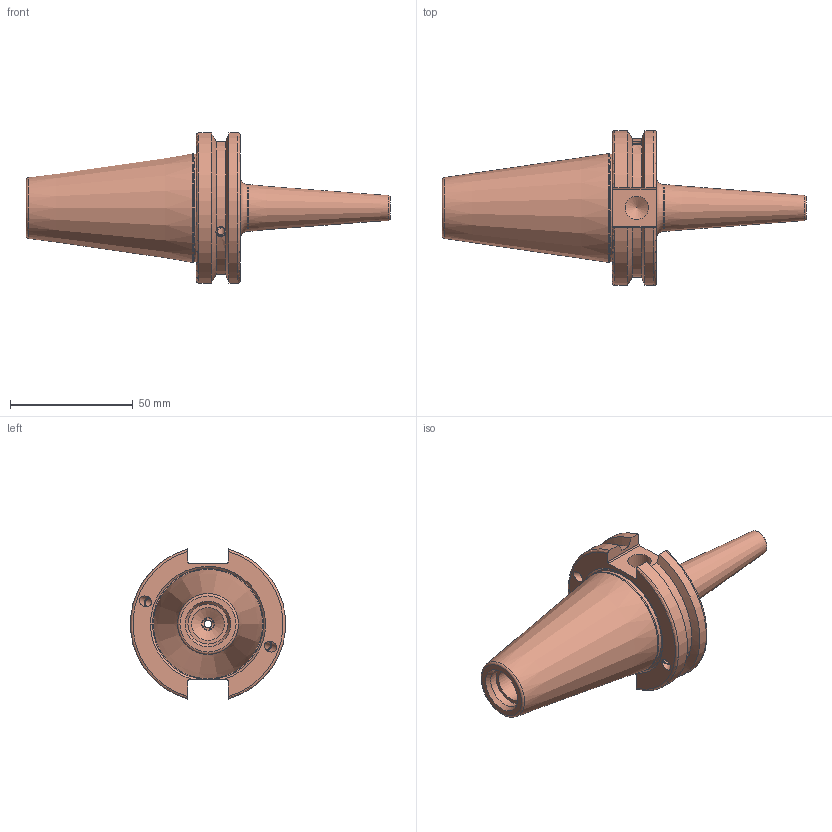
import cadquery as cq
import math

total_length = 148.25

taper_length = 68.25
gauge_diameter = 44.45
taper_rate = 7 / 24
taper_end_fillet = 1

taper_end = 67.9
collar_end = 68.4
neck_diameter = 43.8
recess_mouth_diameter = 46.9
recess_floor_diameter = 45.2
recess_depth = 0.8

flange_diameter = 63.26
flange_start = 69.4
gauge_to_flange_end = 19.05
flange_end = taper_length + gauge_to_flange_end
flange_edge_fillet = 1
groove_diameter = 56.4
groove_center = 79.4
groove_floor_width = 3.85
groove_front_flank_angle = 30
groove_rear_flank_angle = 21

nose_base_diameter = 19
nose_base_length = 3.5
nose_tip_diameter = 10.2
nose_tip_chamfer = 0.5
nose_root_fillet = 3

slot_width = 16.3
slot_corner_radius = 0.5
upper_slot_height = 24.75
lower_slot_height = 22.6
dimple_diameter = 9.53
dimple_depth = 8
drill_point_angle = 118

mouth_diameter = 18.5
mouth_half_angle = 30
counterbore_diameter = 16.3
counterbore_depth = 5
thread_bore_diameter = 13.39
thread_bore_depth = 28
middle_bore_diameter = 5
through_bore_diameter = 3.17
middle_bore_end = 80

coolant_inlet_radius = 27.1
coolant_angle = 20
coolant_inlet_diameter = 4.2
coolant_inlet_tilt = 35
coolant_inlet_depth = 2.4
coolant_plug_diameter = 4.2
coolant_plug_depth = 1
coolant_channel_diameter = 3.24

selection_margin = 0.05


def taper_radius(x):
    return (gauge_diameter - (taper_length - x) * taper_rate) / 2


def revolve_profile(points):
    return cq.Workplane("XY").polyline(points).close().revolve(360, (0, 0, 0), (1, 0, 0))


def cone_height(large_diameter, small_diameter):
    """Height of a drill-point cone between two diameters."""
    return (large_diameter - small_diameter) / 2 / math.tan(math.radians(drill_point_angle / 2))


def disc_window(x, reach):
    """Select everything that fits in a thin square slab centred on the axis at position x."""
    low = (x - selection_margin, -reach, -reach)
    high = (x + selection_margin, reach, reach)
    return cq.selectors.BoxSelector(low, high, True)


def rim_at(x, radius):
    """Select the circular edge of the given radius lying at position x along the axis."""
    return disc_window(x, radius + selection_margin) - disc_window(x, radius - selection_margin)


def make_body():
    """Taper, flange and nose as one turned solid."""
    flange_radius = flange_diameter / 2
    groove_radius = groove_diameter / 2
    groove_depth = flange_radius - groove_radius
    floor_start = groove_center - groove_floor_width / 2
    floor_end = groove_center + groove_floor_width / 2
    groove_start = floor_start - groove_depth * math.tan(math.radians(groove_front_flank_angle))
    groove_end = floor_end + groove_depth * math.tan(math.radians(groove_rear_flank_angle))
    taper_end_radius = taper_radius(taper_end)
    neck_radius = neck_diameter / 2
    neck_start = collar_end + taper_end_radius - neck_radius
    nose_base = flange_end + nose_base_length
    nose_base_radius = nose_base_diameter / 2
    nose_tip_radius = nose_tip_diameter / 2
    body = revolve_profile([
        (0, 0),
        (0, taper_radius(0)),
        (taper_end, taper_end_radius),
        (collar_end, taper_end_radius),
        (neck_start, neck_radius),
        (flange_start + recess_depth, neck_radius),
        (flange_start + recess_depth, recess_floor_diameter / 2),
        (flange_start, recess_mouth_diameter / 2),
        (flange_start, flange_radius),
        (groove_start, flange_radius),
        (floor_start, groove_radius),
        (floor_end, groove_radius),
        (groove_end, flange_radius),
        (flange_end, flange_radius),
        (flange_end, nose_base_radius),
        (nose_base, nose_base_radius),
        (total_length - nose_tip_chamfer, nose_tip_radius),
        (total_length, nose_tip_radius - nose_tip_chamfer),
        (total_length, 0),
    ])
    body = body.faces("<X").edges().fillet(taper_end_fillet)
    body = body.edges(rim_at(flange_start, flange_radius)).fillet(flange_edge_fillet)
    body = body.edges(rim_at(flange_end, flange_radius)).fillet(flange_edge_fillet)
    return body.edges(rim_at(flange_end, nose_base_radius)).fillet(nose_root_fillet)


def make_slot(height, side):
    """Slot across the flange rim; height is the floor's distance from the axis, side is +1 or -1 in Z."""
    length = flange_end - flange_start
    depth = flange_diameter
    center = (flange_start + length / 2, 0, side * (height + depth / 2))
    slot = cq.Workplane("XY").box(length, slot_width, depth).edges("|X").fillet(slot_corner_radius)
    return slot.translate(center)


def make_dimple():
    """Blind drilled hole in the floor of the upper slot."""
    radius = dimple_diameter / 2
    tip = cone_height(dimple_diameter, 0)
    floor = upper_slot_height - dimple_depth
    return (
        cq.Workplane("XZ")
        .polyline([(0, upper_slot_height), (radius, upper_slot_height), (radius, floor), (0, floor - tip)])
        .close()
        .revolve(360, (0, 0, 0), (0, 1, 0))
        .translate((groove_center, 0, 0))
    )


def make_bore():
    """Stepped bore along the whole axis, opening at the taper's small end."""
    mouth_step = (mouth_diameter - counterbore_diameter) / 2
    mouth_depth = mouth_step / math.tan(math.radians(mouth_half_angle))
    point_end = thread_bore_depth + cone_height(thread_bore_diameter, middle_bore_diameter)
    return revolve_profile([
        (0, 0),
        (0, mouth_diameter / 2),
        (mouth_depth, counterbore_diameter / 2),
        (counterbore_depth, counterbore_diameter / 2),
        (counterbore_depth, thread_bore_diameter / 2),
        (thread_bore_depth, thread_bore_diameter / 2),
        (point_end, middle_bore_diameter / 2),
        (middle_bore_end, middle_bore_diameter / 2),
        (middle_bore_end, through_bore_diameter / 2),
        (total_length, through_bore_diameter / 2),
        (total_length, 0),
    ])


def make_cylinder(start, direction, diameter, length):
    return cq.Workplane("XY").add(
        cq.Solid.makeCylinder(diameter / 2, length, cq.Vector(*start), cq.Vector(*direction)))


def make_coolant_hole(angle):
    """Tilted inlet in the flange face meeting a radial channel that runs from the groove to the bore."""
    tilt = math.radians(coolant_inlet_tilt)
    direction = (math.cos(tilt), -math.sin(tilt), 0)
    lead = coolant_inlet_diameter
    start = (flange_start - lead * direction[0], coolant_inlet_radius - lead * direction[1], 0)
    channel_length = (groove_center - flange_start) / math.cos(tilt) + lead
    plug_start = (groove_center, groove_diameter / 2 - coolant_plug_depth, 0)
    plug_length = (flange_diameter - groove_diameter) / 2 + coolant_plug_depth

    hole = make_cylinder(start, direction, coolant_inlet_diameter, coolant_inlet_depth + lead)
    channel = make_cylinder(start, direction, coolant_channel_diameter, channel_length)
    radial = make_cylinder((groove_center, 0, 0), (0, 1, 0), coolant_channel_diameter, flange_diameter / 2)
    plug_seat = make_cylinder(plug_start, (0, 1, 0), coolant_plug_diameter, plug_length)
    hole = hole.union(channel).union(radial).union(plug_seat)
    return hole.rotate((0, 0, 0), (1, 0, 0), angle)


result = make_body().cut(make_bore())
result = result.cut(make_slot(upper_slot_height, 1)).cut(make_slot(lower_slot_height, -1))
result = result.cut(make_dimple())
for angle in (coolant_angle, coolant_angle + 180):
    result = result.cut(make_coolant_hole(angle))